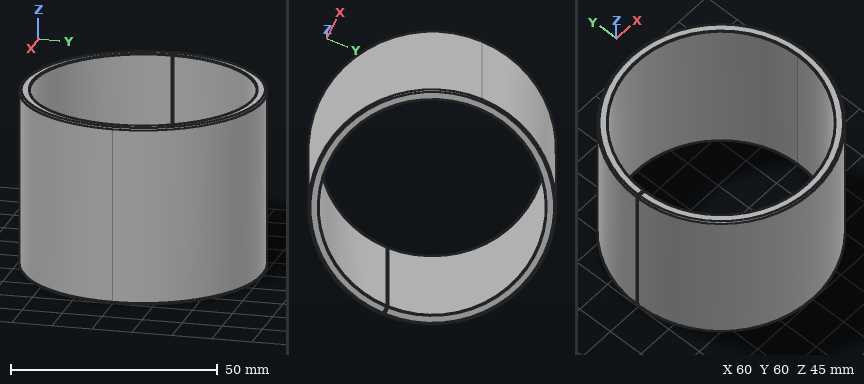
import cadquery as cq

outer_diameter = 60.0
inner_diameter = 55.0
length = 45.0

outer_chamfer_width = 0.5
outer_chamfer_height = 0.5
inner_chamfer = 0.2
slit_width = 0.5

outer_radius = outer_diameter / 2
inner_radius = inner_diameter / 2
half_length = length / 2

wall_section = (
    cq.Workplane("XZ")
    .moveTo(inner_radius, -half_length + inner_chamfer)
    .lineTo(inner_radius + inner_chamfer, -half_length)
    .lineTo(outer_radius - outer_chamfer_width, -half_length)
    .lineTo(outer_radius, -half_length + outer_chamfer_height)
    .lineTo(outer_radius, half_length - outer_chamfer_height)
    .lineTo(outer_radius - outer_chamfer_width, half_length)
    .lineTo(inner_radius + inner_chamfer, half_length)
    .lineTo(inner_radius, half_length - inner_chamfer)
    .close()
)
sleeve = wall_section.revolve(360, (0, 0, 0), (0, 1, 0))

slit = cq.Workplane("XY").box(outer_radius, slit_width, length, centered=(False, False, True))
slit = slit.translate((-outer_radius, 0, 0))

result = sleeve.cut(slit)